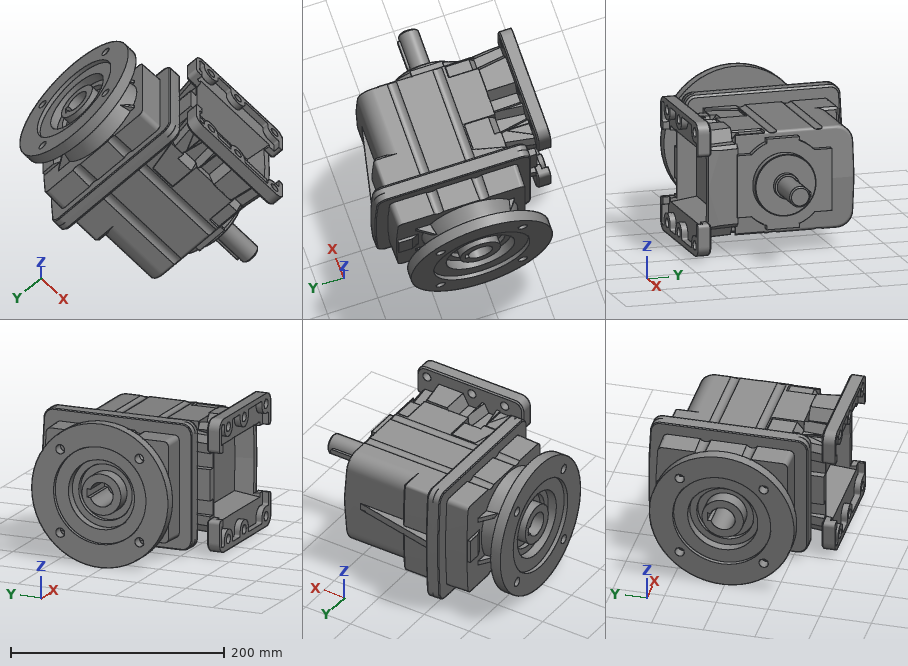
import cadquery as cq

EPS = 1.2

flange_dia = 140.0
flange_thickness = 10.8
flange_hole_dia = 9.0
flange_hole_circle = 115.0
neck_dia = 90.0
neck_end = 21.9
cone_end_dia = 95.0
spigot_dia = 95.0
spigot_depth = 4.0
cavity_dia = 68.0
cavity_floor = 13.2
hub_space_dia = 55.0
hub_space_floor = 17.9
hub_dia = 40.0
bore_dia = 24.0
bore_end = 44.0
keyway_width = 8.0
keyway_top = 14.8

body_start = 35.5
body_half_height = 50.0
body_low = -55.5
body_corner_y = 71.2
body_peak_y = 73.3
casting_draft = 1.5
body_radius = 5.0
top_pad_start = 32.7
top_pad_low = 50.5
top_pad_half_height = 12.2
top_pad_bevel = 7.0
plate_start = 58.8
plate_split = 66.0
plate_end = 73.5
plate_half_height = 61.8
plate_low = -68.5
plate_corner_y = 83.2
plate_peak_y = 86.0
plate_radius = 10.0
plate_front_bevel = 1.0
plate_rear_bevel = 2.0
gusset_start = 23.3
gusset_root_y = 28.2
gusset_start_y = 35.7
gusset_end_y_upper = 53.5
gusset_end_y_lower = 44.5
gusset_inner_z = 22.5
gusset_outer_z = 27.0

housing_end = 174.8
housing_low = -51.2
housing_peak = 178.1
housing_half_height = 49.4
housing_high = 65.0
housing_corner_y = 64.0
corner_blend = 15.7
rear_edge_round = 3.0
hump_end = 107.5
hump_radius = 2.8
hump_edge_bevel = 2.5
groove_end = 174.4
groove_width = 9.2
groove_depth = 1.9
groove_centres_y = (30.3, -14.5)
web_end = 158.6
web_thickness = 7.0

output_y = -6.3
rear_boss_dia = 86.5
lobe_half_width = 16.0
lobe_half_height = 44.0
ear_high = 41.4
ear_half_height = 30.0
rear_boss_end = 181.7
cover_dia = 60.0
cover_end = 189.6
collar_dia = 24.0
collar_end = 194.8
shaft_dia = 20.0
shaft_end = 235.0
shaft_bevel = 1.5
cover_bevel = 0.7
key_start = 199.3
key_end = 229.8
key_width = 5.0
key_end_radius = 2.4
key_top = 5.9

foot_bottom = -92.0
pad_top = -79.0
pad_start = 69.8
pad_end = 187.8
pad_inner_z = 33.0
pad_outer_z = 64.9
pad_corner_radius = 10.0
pad_inner_radius = 3.5
pad_top_bevel = 1.5
foot_hole_xs = (90.2, 126.7, 176.7)
foot_hole_z = 54.8
foot_hole_dia = 9.0
boss_radius = 9.5
recess_floor = -85.8
recess_start = 74.7
recess_end = 182.5
recess_outer_z = 59.7
recess_neck_x = 77.8
recess_neck_z = 40.0
recess_radius = 1.9
wall_x = 81.8
pedestal_start_top = 80.0
pedestal_start_foot = 75.2
pedestal_end_top = 179.0
pedestal_end_foot = 182.4
pedestal_end_bevel = 3.5
rear_peak = 2.4
rim_y = -80.0
lug_x = 75.0
lug_inner_z = 15.3
lug_outer_z = 30.8
pedestal_half_height = 40.0
first_ridge_z = 47.0
middle_ridge_z = 49.0
last_ridge_z = 51.7
bolt_notch_start = 83.2
bolt_notch_end = 95.2
bolt_notch_tip_y = -55.5
ridge_side_angle = 28
pocket_start = 82.2
pocket_end = 175.8
pocket_peak = 177.2
pocket_half_height = 36.7
pocket_floor = -61.8
pocket_draft = 11.3
clearance_depth = 1.6
front_clearance_start = 78.3
front_clearance_top_start = 85.8
front_clearance_end = 112.8
front_clearance_top = -20.7
front_slope_start = 95.0
front_slope_y = -44.6
rear_clearance_start = 162.6
rear_clearance_end = 173.7
rear_clearance_top = -22.8
rear_slope_y = -46.0
rear_clearance_angle = 30


def box(x0, x1, y0, y1, z0, z1):
    return cq.Workplane("XY").box(x1 - x0, y1 - y0, z1 - z0, centered=False).translate((x0, y0, z0))


def cylinder(dia, x0, x1, y=0.0):
    return cq.Workplane("YZ", origin=(x0, y, 0)).circle(dia / 2).extrude(x1 - x0)


def plan_prism(points, z0, z1, taper=0):
    return cq.Workplane("XY", origin=(0, 0, z0)).polyline(points).close().extrude(z1 - z0, taper=taper)


def both_sides(solid):
    return solid.union(solid.mirror("XY"))


def bulged_prism(x0, x1, low, corner_y, peak_y, half_height, radius, draft=0):
    """Section with rounded corners and an arched +Y side; any draft narrows it towards x0."""
    return (
        cq.Workplane("YZ", origin=(x1, 0, 0))
        .moveTo(corner_y, -half_height)
        .threePointArc((peak_y, 0), (corner_y, half_height))
        .lineTo(low, half_height)
        .lineTo(low, -half_height)
        .close()
        .extrude(x0 - x1, taper=draft)
        .edges("not (<X or >X)")
        .fillet(radius)
    )


def input_flange():
    profile = [
        (0, 0),
        (0, flange_dia / 2),
        (flange_thickness, flange_dia / 2),
        (flange_thickness, neck_dia / 2),
        (neck_end, neck_dia / 2),
        (body_start, cone_end_dia / 2),
        (body_start + EPS, cone_end_dia / 2),
        (body_start + EPS, 0),
    ]
    return cq.Workplane("XY").polyline(profile).close().revolve(360, (0, 0, 0), (1, 0, 0))


def input_cuts():
    cuts = cylinder(spigot_dia, 0, spigot_depth)
    cuts = cuts.union(cylinder(cavity_dia, spigot_depth, cavity_floor))
    cuts = cuts.union(cylinder(hub_space_dia, spigot_depth, hub_space_floor))
    cuts = cuts.cut(cylinder(hub_dia, spigot_depth, hub_space_floor))
    cuts = cuts.union(cylinder(bore_dia, spigot_depth, bore_end))
    cuts = cuts.union(box(spigot_depth, bore_end, 0, keyway_top, -keyway_width / 2, keyway_width / 2))
    holes = (
        cq.Workplane("YZ")
        .polarArray(flange_hole_circle / 2, 45, 360, 4)
        .circle(flange_hole_dia / 2)
        .extrude(flange_thickness)
    )
    return cuts.union(holes)


def gussets():
    def rib(end_y, side):
        profile = [
            (gusset_start, side * gusset_start_y),
            (body_start, side * end_y),
            (body_start + EPS, side * end_y),
            (body_start + EPS, side * gusset_root_y),
            (gusset_start, side * gusset_root_y),
        ]
        return plan_prism(profile, gusset_inner_z, gusset_outer_z)

    return both_sides(rib(gusset_end_y_upper, 1).union(rib(gusset_end_y_lower, -1)))


def intermediate_body():
    body = bulged_prism(
        body_start,
        plate_start + EPS,
        body_low,
        body_corner_y,
        body_peak_y,
        body_half_height,
        body_radius,
        casting_draft,
    )
    pad_profile = [
        (top_pad_start, body_corner_y),
        (body_start + EPS, body_corner_y),
        (body_start + EPS, top_pad_low),
        (body_start, top_pad_low),
        (top_pad_start, top_pad_low + top_pad_bevel),
    ]
    return body.union(plan_prism(pad_profile, -top_pad_half_height, top_pad_half_height))


def clamping_plates():
    outline = (plate_low, plate_corner_y, plate_peak_y, plate_half_height, plate_radius)
    front_plate = bulged_prism(plate_start, plate_split, *outline, casting_draft)
    front_plate = front_plate.faces("<X").edges().chamfer(plate_front_bevel)
    rear_plate = bulged_prism(plate_split, plate_end, *outline)
    rear_plate = rear_plate.faces(">X").edges().chamfer(plate_rear_bevel)
    return front_plate.union(rear_plate)


def rear_slope_prism(x_end, x_peak, half_height, y_low, y_high):
    """Limits a casting at the rear by two faces that meet in a slight peak at Z = 0."""
    return (
        cq.Workplane("XZ", origin=(0, y_high, 0))
        .moveTo(plate_end - EPS, half_height)
        .lineTo(x_end, half_height)
        .lineTo(x_peak, 0)
        .lineTo(x_end, -half_height)
        .lineTo(plate_end - EPS, -half_height)
        .close()
        .extrude(y_high - y_low)
    )


def gear_housing():
    start = plate_end - EPS
    section_low = housing_low - 2 * corner_blend
    housing = bulged_prism(
        start, housing_peak, section_low, housing_corner_y, housing_high, housing_half_height, corner_blend
    )
    housing = housing.intersect(
        rear_slope_prism(housing_end, housing_peak, housing_half_height, housing_low, housing_high)
    )

    def rim(z0, z1):
        return cq.selectors.BoxSelector(
            (housing_end - EPS, housing_low + EPS, z0), (housing_peak + EPS, housing_high + EPS, z1)
        )

    outer_z = housing_half_height + EPS
    housing = housing.edges(rim(EPS, outer_z) + rim(-outer_z, -EPS)).fillet(rear_edge_round)
    hump = bulged_prism(start, hump_end, 0, body_corner_y, body_peak_y, housing_half_height, hump_radius)
    hump = hump.faces(">X").edges("not <Y").chamfer(hump_edge_bevel)
    web = [
        (start, plate_corner_y),
        (plate_end, plate_corner_y),
        (web_end, housing_high),
        (web_end, housing_high - EPS),
        (start, housing_high - EPS),
    ]
    return housing.union(hump).union(plan_prism(web, -web_thickness / 2, web_thickness / 2))


def long_grooves():
    """Shallow round-bottomed grooves along the +Z and -Z faces of body and housing."""
    half_width = groove_width / 2
    radius = (half_width**2 + groove_depth**2) / (2 * groove_depth)
    axis_z = housing_half_height - groove_depth + radius
    cuts = cq.Workplane("XY")
    for y in groove_centres_y:
        for x0, x1 in ((body_start, plate_start), (plate_end, groove_end)):
            for z in (axis_z, -axis_z):
                cuts = cuts.add(cylinder(2 * radius, x0, x1, y).translate((0, 0, z)))
    return cuts.combine()


def rear_boss():
    """Round boss with a flat lobe above and below, and ears reaching to both sides in Y."""
    start = housing_end - EPS
    boss = cylinder(rear_boss_dia, start, rear_boss_end, output_y)
    lobe_low = output_y - lobe_half_width
    lobe_high = output_y + lobe_half_width
    lobe = box(start, rear_boss_end, lobe_low, lobe_high, -lobe_half_height, lobe_half_height)
    ears = box(start, rear_boss_end, housing_low, ear_high, -ear_half_height, ear_half_height)
    return boss.union(lobe).union(ears)


def output_side():
    shaft = cylinder(shaft_dia, cover_end - EPS, shaft_end, output_y).faces(">X").chamfer(shaft_bevel)
    cover = cylinder(cover_dia, housing_end - EPS, cover_end, output_y).faces(">X").chamfer(cover_bevel)
    key = box(key_start, key_end, output_y, key_top, -key_width / 2, key_width / 2)
    key = key.edges("|Y").fillet(key_end_radius)
    return (
        rear_boss()
        .union(cover)
        .union(cylinder(collar_dia, cover_end - EPS, collar_end, output_y))
        .union(shaft)
        .union(key)
    )


def ridge(left_top, right_top, left_foot, right_foot, top_z):
    """Leaning rib on the pedestal's side, from the housing down to the pad, with sloped flanks."""
    y_top = housing_low
    y_foot = pad_top - EPS
    left_lean = left_foot - left_top
    right_lean = right_foot - right_top
    y_extra = y_top - y_foot
    outline = [
        (left_top - left_lean, y_top + y_extra),
        (right_top - right_lean, y_top + y_extra),
        (right_foot + right_lean, y_foot - y_extra),
        (left_foot + left_lean, y_foot - y_extra),
    ]
    rib = plan_prism(outline, pedestal_half_height, top_z, ridge_side_angle)
    return rib.intersect(box(pad_start, pad_end, y_foot, y_top, 0, pad_outer_z))


def pedestal():
    inside = housing_low + EPS

    def slab(start_top, start_foot, z0):
        outline = [
            (start_top, inside),
            (pedestal_end_top, inside),
            (pedestal_end_foot, rim_y),
            (start_foot, rim_y),
        ]
        return plan_prism(outline, z0, pedestal_half_height)

    block = slab(wall_x, wall_x, 0).union(slab(pedestal_start_top, pedestal_start_foot, lug_outer_z))
    block = block.faces(">Z").edges(">X").chamfer(pedestal_end_bevel)
    first_ridge = ridge(
        left_top=pedestal_start_top,
        right_top=97.5,
        left_foot=pedestal_start_foot,
        right_foot=103.0,
        top_z=first_ridge_z,
    )
    middle_ridge = ridge(left_top=110.5, right_top=119.4, left_foot=107.6, right_foot=120.3, top_z=middle_ridge_z)
    last_ridge = ridge(left_top=130.2, right_top=165.7, left_foot=130.2, right_foot=170.0, top_z=last_ridge_z)
    block = block.union(first_ridge).union(middle_ridge).union(last_ridge)
    triangle = [
        (bolt_notch_end, bolt_notch_tip_y),
        (bolt_notch_end, pad_top),
        (bolt_notch_start, pad_top),
    ]
    block = block.cut(plan_prism(triangle, first_ridge_z - clearance_depth, pad_outer_z))
    lug = box(lug_x, wall_x + EPS, rim_y, inside, 0, lug_inner_z)
    end_corner = pedestal_end_foot - rear_peak
    limit = rear_slope_prism(end_corner, pedestal_end_foot, pad_outer_z, rim_y, inside)
    return both_sides(block.union(lug)).intersect(limit)


def pad_cylinder(x, radius, top_y):
    height = top_y - foot_bottom
    return cq.Workplane("XZ", origin=(x, top_y, foot_hole_z)).circle(radius).extrude(height)


def foot_pad():
    """The pad on the +Z side, with its shallow recess and three hole bosses."""
    pad = box(pad_start, pad_end, foot_bottom, pad_top, pad_inner_z, pad_outer_z)
    pad = pad.edges("|Y and >Z").fillet(pad_corner_radius)
    pad = pad.edges("|Y and <Z").fillet(pad_inner_radius)
    pad = pad.faces(">Y").edges().chamfer(pad_top_bevel)

    def recess_block(x0, x1, z0, z1):
        return box(x0, x1, foot_bottom, recess_floor, z0, z1)

    recess = recess_block(recess_start, recess_end, pad_inner_z, recess_outer_z)
    recess = recess.cut(recess_block(recess_start, recess_neck_x, pad_inner_z, recess_neck_z))
    for x in foot_hole_xs:
        recess = recess.cut(pad_cylinder(x, boss_radius, recess_floor))
        recess = recess.cut(recess_block(x - boss_radius, x + boss_radius, foot_hole_z, recess_outer_z))
    last_boss_bottom = foot_hole_z - boss_radius
    recess = recess.cut(recess_block(foot_hole_xs[-1], recess_end, last_boss_bottom, recess_outer_z))
    rounded_zone = cq.selectors.BoxSelector(
        (pad_start, foot_bottom - EPS, recess_neck_z - EPS), (pad_end, recess_floor + EPS, pad_outer_z)
    )
    recess = recess.edges(rounded_zone).edges("|Y and (>Z or <X or >X)").fillet(recess_radius)
    pad = pad.cut(recess)
    for x in foot_hole_xs:
        pad = pad.cut(pad_cylinder(x, foot_hole_dia / 2, pad_top))
    return pad


def foot_pocket():
    """Drafted pocket between the pads; its +X wall is slightly peaked at mid height."""
    opening = [
        (pocket_start, -pocket_half_height),
        (pocket_end, -pocket_half_height),
        (pocket_peak, 0),
        (pocket_end, pocket_half_height),
        (pocket_start, pocket_half_height),
    ]
    return (
        cq.Workplane("XZ", origin=(0, recess_floor, 0))
        .polyline(opening)
        .close()
        .extrude(recess_floor - pocket_floor, taper=pocket_draft)
    )


def bolt_clearances():
    """Sunken areas beside the foot, each ending in a slope at the pedestal."""
    floor_z = housing_half_height - clearance_depth
    above = housing_half_height + EPS
    front_area = [
        (front_clearance_start, housing_low),
        (front_clearance_top_start, front_clearance_top),
        (front_clearance_end, front_clearance_top),
        (front_clearance_end, housing_low),
    ]
    rear_area = [
        (rear_clearance_start, housing_low),
        (rear_clearance_start, rear_clearance_top),
        (rear_clearance_end, rear_clearance_top),
        (rear_clearance_end, housing_low),
    ]

    def slope(x0, x1, slope_y):
        profile = [
            (slope_y, above),
            (slope_y, floor_z),
            (housing_low, pedestal_half_height),
            (housing_low, above),
        ]
        return cq.Workplane("YZ", origin=(x0, 0, 0)).polyline(profile).close().extrude(x1 - x0)

    cuts = plan_prism(front_area, floor_z, above)
    cuts = cuts.union(plan_prism(rear_area, floor_z, above, -rear_clearance_angle))
    cuts = cuts.union(slope(front_slope_start, front_clearance_end, front_slope_y))
    cuts = cuts.union(slope(rear_clearance_start, rear_clearance_end, rear_slope_y))
    return both_sides(cuts)


result = (
    input_flange()
    .union(gussets())
    .union(intermediate_body())
    .cut(input_cuts())
    .union(clamping_plates())
    .union(gear_housing())
    .cut(long_grooves())
    .cut(bolt_clearances())
    .union(output_side())
    .union(pedestal())
    .union(both_sides(foot_pad()))
    .cut(foot_pocket())
)